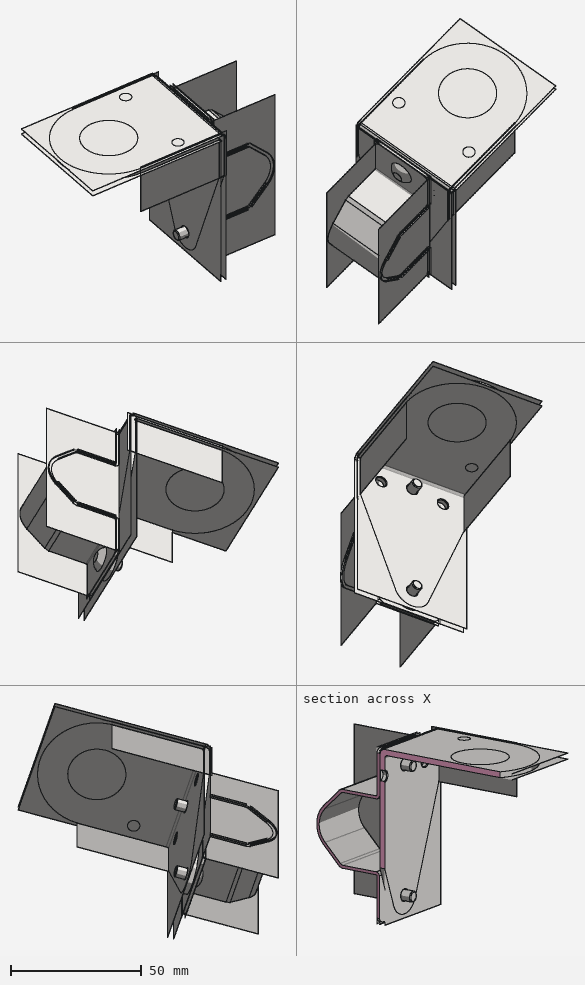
import cadquery as cq
import math


SKIN = 0.1
OVERHANG = 0.025

BRACKET_WIDTH = 45.3
BRACKET_THICKNESS = 2.5
BEND_OUTER_RADIUS = 2.5
BEND_INNER_RADIUS = 0.9
FLANGE_CENTER_Y = -38.1
FLANGE_HOLE_DIAMETER = 22.2
SMALL_HOLE_DIAMETER = 4.7
SMALL_HOLE_X = 17.4
SMALL_HOLE_Y = -18.0
TAPER_START_Z = -20.4
LEG_TIP_RADIUS = 7.5

UPPER_RIVET_Z = -8.9
LOWER_RIVET_Z = -60.7
SHANK_DIAMETER = 4.35
SHANK_PROTRUSION = 4.3
SHANK_CHAMFER = 0.4
HEAD_DIAMETER = 9.8
HEAD_FLAT_DIAMETER = 4.1
HEAD_HEIGHT = 2.4
COUNTERSINK_DIAMETER = 5.0
SIDE_HOLE_X = 13.4
SIDE_HOLE_Z = -10.65
SIDE_HOLE_FLOOR = 0.5

STRAP_WIDTH = 25.8
STRAP_THICKNESS = 1.4
STRAP_CENTER_Z = (UPPER_RIVET_Z + LOWER_RIVET_Z) / 2
STRAP_HALF_HEIGHT = 34.55
STRAP_CORNER_RADIUS = 2.5
ARCH_HALF_HEIGHT = 15.75
ARCH_DEPTH = 29.7
ARCH_RADIUS = 10.8
FLANGE_BEND_RADIUS = 1.1
SHOULDER_BEND_RADIUS = 2.5

half_width = BRACKET_WIDTH / 2
bracket_front_y = -BRACKET_THICKNESS
flange_end_y = FLANGE_CENTER_Y - half_width
leg_tip_z = LOWER_RIVET_Z - LEG_TIP_RADIUS


def widened(start, end):
    """Ends of a skin that covers start..end and overhangs both."""
    reach = OVERHANG * (end - start)
    return start - reach, end + reach


def plate(x_range, y_range, z_range):
    """Rectangular plate between the given limits."""
    sizes = [high - low for low, high in (x_range, y_range, z_range)]
    corner = (x_range[0], y_range[0], z_range[0])
    return cq.Workplane("XY").box(*sizes, centered=False).translate(corner)


def cylinder_y(radius, x, z, y_start, y_end):
    """Cylinder along Y."""
    circle = cq.Workplane("XZ", origin=(0, y_end, 0)).center(x, z).circle(radius)
    return circle.extrude(y_end - y_start)


def curved_skin(x_range, center, radius, y_range, z_range):
    """Skin just inside a cylinder along X, kept between the given limits; center is (y, z)."""
    ring = (
        cq.Workplane("YZ", origin=(x_range[0], *center))
        .circle(radius)
        .circle(radius - SKIN)
        .extrude(x_range[1] - x_range[0])
    )
    return ring.intersect(plate(x_range, y_range, z_range))



def flange_plate():
    outline = (
        cq.Workplane("XY", origin=(0, 0, -BRACKET_THICKNESS))
        .moveTo(half_width, 0)
        .lineTo(half_width, FLANGE_CENTER_Y)
        .threePointArc((0, flange_end_y), (-half_width, FLANGE_CENTER_Y))
        .lineTo(-half_width, 0)
        .close()
    )
    return outline.extrude(BRACKET_THICKNESS)


def leg_plate():
    """Leg whose tapering sides run tangent into the round tip around the lower rivet."""
    drop = TAPER_START_Z - LOWER_RIVET_Z
    to_corner = math.atan2(drop, half_width)
    tangent = to_corner - math.acos(LEG_TIP_RADIUS / math.hypot(half_width, drop))
    tip_x = LEG_TIP_RADIUS * math.cos(tangent)
    tip_z = LOWER_RIVET_Z + LEG_TIP_RADIUS * math.sin(tangent)
    outline = (
        cq.Workplane("XZ")
        .moveTo(half_width, 0)
        .lineTo(half_width, TAPER_START_Z)
        .lineTo(tip_x, tip_z)
        .threePointArc((0, leg_tip_z), (-tip_x, tip_z))
        .lineTo(-half_width, TAPER_START_Z)
        .lineTo(-half_width, 0)
        .close()
    )
    return outline.extrude(BRACKET_THICKNESS)


def bracket_core():
    core = flange_plate().union(leg_plate())
    core = core.edges(cq.selectors.NearestToPointSelector((0, 0, 0))).fillet(BEND_OUTER_RADIUS)
    inner_corner = (0, bracket_front_y, -BRACKET_THICKNESS)
    core = core.edges(cq.selectors.NearestToPointSelector(inner_corner)).fillet(BEND_INNER_RADIUS)
    flange_holes = (
        cq.Workplane("XY")
        .pushPoints([(-SMALL_HOLE_X, SMALL_HOLE_Y), (SMALL_HOLE_X, SMALL_HOLE_Y)])
        .circle(SMALL_HOLE_DIAMETER / 2)
        .moveTo(0, FLANGE_CENTER_Y)
        .circle(FLANGE_HOLE_DIAMETER / 2)
        .extrude(-BRACKET_THICKNESS)
    )
    return core.cut(flange_holes)


def bracket_skins():
    """Skins on the top, underside, back, front, both sides and the outer bend."""
    across = widened(-half_width, half_width)
    inner_start = BRACKET_THICKNESS + BEND_INNER_RADIUS
    top_y = widened(flange_end_y, -BEND_OUTER_RADIUS)
    underside_y = widened(flange_end_y, -inner_start)
    back_z = widened(leg_tip_z, -BEND_OUTER_RADIUS)
    front_z = widened(leg_tip_z, -inner_start)
    side_y = widened(FLANGE_CENTER_Y, 0)
    side_z = widened(TAPER_START_Z, 0)
    bend_range = (-BEND_OUTER_RADIUS, 0)
    bend_center = (-BEND_OUTER_RADIUS, -BEND_OUTER_RADIUS)
    return [
        plate(across, top_y, (-SKIN, 0)),
        plate(across, underside_y, (-BRACKET_THICKNESS, SKIN - BRACKET_THICKNESS)),
        plate(across, (-SKIN, 0), back_z),
        plate(across, (bracket_front_y, bracket_front_y + SKIN), front_z),
        plate((-half_width, SKIN - half_width), side_y, side_z),
        plate((half_width - SKIN, half_width), side_y, side_z),
        curved_skin(across, bend_center, BEND_OUTER_RADIUS, bend_range, bend_range),
    ]


def countersunk_hole(x, z, y_end):
    """Cutter for a hole from the leg front to y_end, countersunk at the front."""
    hole_radius = SHANK_DIAMETER / 2
    depth = COUNTERSINK_DIAMETER / 2 - hole_radius
    mouth = cq.Solid.makeCone(
        COUNTERSINK_DIAMETER / 2, hole_radius, depth, cq.Vector(x, bracket_front_y, z), cq.Vector(0, 1, 0)
    )
    return cylinder_y(hole_radius, x, z, bracket_front_y, y_end).union(cq.Workplane(mouth))


def make_bracket():
    body = bracket_core()
    for skin in bracket_skins():
        body = body.union(skin)
    for z in (UPPER_RIVET_Z, LOWER_RIVET_Z):
        body = body.cut(countersunk_hole(0, z, 0))
    for x in (-SIDE_HOLE_X, SIDE_HOLE_X):
        body = body.cut(countersunk_hole(x, SIDE_HOLE_Z, -SIDE_HOLE_FLOOR))
    return body



def strap_corners():
    """Corners (y, z) of the strap's centre line from top to bottom, and the bend radius at each inner one."""
    half = STRAP_THICKNESS / 2
    arch_radius = ARCH_RADIUS - half
    leg_z = ARCH_HALF_HEIGHT - half
    apex_y = ARCH_DEPTH - ARCH_RADIUS + arch_radius * math.sqrt(2)
    shoulder_y = apex_y - leg_z
    upper = [(half, STRAP_HALF_HEIGHT), (half, leg_z), (shoulder_y, leg_z)]
    lower = [(y, -z) for y, z in reversed(upper)]
    corners = [cq.Vector(y, z + STRAP_CENTER_Z) for y, z in upper + [(apex_y, 0)] + lower]
    radii = [FLANGE_BEND_RADIUS, SHOULDER_BEND_RADIUS, arch_radius, SHOULDER_BEND_RADIUS, FLANGE_BEND_RADIUS]
    return corners, radii


def bend_points(before, corner, after, radius):
    """Start, middle and end of the arc that rounds a corner."""
    back = (before - corner).normalized()
    ahead = (after - corner).normalized()
    half_angle = back.getAngle(ahead) / 2
    setback = radius / math.tan(half_angle)
    sagitta = radius / math.sin(half_angle) - radius
    middle = corner + (back + ahead).normalized() * sagitta
    return corner + back * setback, middle, corner + ahead * setback


def strap_bends():
    corners, radii = strap_corners()
    return [bend_points(*corners[i:i + 3], radius) for i, radius in enumerate(radii)]


def strap_core():
    """Band swept along the centre line, with rounded flange corners."""
    corners, _ = strap_corners()
    path = cq.Workplane("YZ").moveTo(corners[0].x, corners[0].y)
    for start, middle, end in strap_bends():
        path = path.lineTo(start.x, start.y).threePointArc((middle.x, middle.y), (end.x, end.y))
    path = path.lineTo(corners[-1].x, corners[-1].y)
    section = cq.Workplane("XY", origin=(0, corners[0].x, corners[0].y)).rect(STRAP_WIDTH, STRAP_THICKNESS)
    band = section.sweep(path)
    flange_ends = band.faces("<Z or >Z").edges("|Y")
    return flange_ends.fillet(STRAP_CORNER_RADIUS)


def strap_skins():
    """Skins on both faces of every straight stretch, on the outside of the arch and on both edges."""
    corners, _ = strap_corners()
    bends = strap_bends()
    starts = [corners[0]] + [end for _, _, end in bends]
    ends = [start for start, _, _ in bends] + [corners[-1]]
    edge_x = STRAP_WIDTH / 2
    across = widened(-edge_x, edge_x)
    skins = []
    for start, end in zip(starts, ends):
        run = end - start
        middle = (start + end) / 2
        normal = cq.Vector(-run.y, run.x).normalized()
        for side in (-1, 1):
            center = middle + normal * (side * (STRAP_THICKNESS - SKIN) / 2)
            skin = (
                cq.Workplane("XY")
                .box(STRAP_WIDTH * (1 + 2 * OVERHANG), run.Length * (1 + 2 * OVERHANG), SKIN)
                .rotate((0, 0, 0), (1, 0, 0), math.degrees(math.atan2(run.y, run.x)))
                .translate((0, center.x, center.y))
            )
            skins.append(skin)
    arch_center_y = ARCH_DEPTH - ARCH_RADIUS
    arch_reach = ARCH_RADIUS * math.sin(math.radians(45))
    arch_y = (arch_center_y + arch_reach, ARCH_DEPTH)
    arch_z = (STRAP_CENTER_Z - arch_reach, STRAP_CENTER_Z + arch_reach)
    skins.append(curved_skin(across, (arch_center_y, STRAP_CENTER_Z), ARCH_RADIUS, arch_y, arch_z))
    reach_y = (0, ARCH_DEPTH * (1 + OVERHANG))
    edge_half = STRAP_HALF_HEIGHT - STRAP_CORNER_RADIUS
    edge_z = widened(STRAP_CENTER_Z - edge_half, STRAP_CENTER_Z + edge_half)
    skins.append(plate((-edge_x, SKIN - edge_x), reach_y, edge_z))
    skins.append(plate((edge_x - SKIN, edge_x), reach_y, edge_z))
    return skins


def make_strap():
    body = strap_core()
    for skin in strap_skins():
        body = body.union(skin)
    for z in (UPPER_RIVET_Z, LOWER_RIVET_Z):
        body = body.cut(cylinder_y(SHANK_DIAMETER / 2, 0, z, 0, STRAP_THICKNESS))
    return body



def make_rivet(z):
    """Shank with a chamfered tip and a domed, flat-topped head behind the strap."""
    shank_radius = SHANK_DIAMETER / 2
    head_radius = HEAD_DIAMETER / 2
    flat_radius = HEAD_FLAT_DIAMETER / 2
    tip_y = bracket_front_y - SHANK_PROTRUSION
    head_top_y = STRAP_THICKNESS + HEAD_HEIGHT
    center_drop = (head_radius**2 - flat_radius**2 - HEAD_HEIGHT**2) / (2 * HEAD_HEIGHT)
    dome_radius = math.hypot(head_radius, center_drop)
    middle_height = HEAD_HEIGHT / 2
    middle_radius = math.sqrt(dome_radius**2 - (center_drop + middle_height) ** 2)
    profile = (
        cq.Workplane("XY", origin=(0, 0, z))
        .moveTo(0, tip_y)
        .lineTo(shank_radius - SHANK_CHAMFER, tip_y)
        .lineTo(shank_radius, tip_y + SHANK_CHAMFER)
        .lineTo(shank_radius, STRAP_THICKNESS)
        .lineTo(head_radius, STRAP_THICKNESS)
        .threePointArc((middle_radius, STRAP_THICKNESS + middle_height), (flat_radius, head_top_y))
        .lineTo(0, head_top_y)
        .close()
    )
    return profile.revolve(360, (0, 0, 0), (0, 1, 0))


bracket = make_bracket()
strap = make_strap()
rivets = [make_rivet(z) for z in (UPPER_RIVET_Z, LOWER_RIVET_Z)]

result = cq.Compound.makeCompound([bracket.val(), strap.val(), *[rivet.val() for rivet in rivets]])